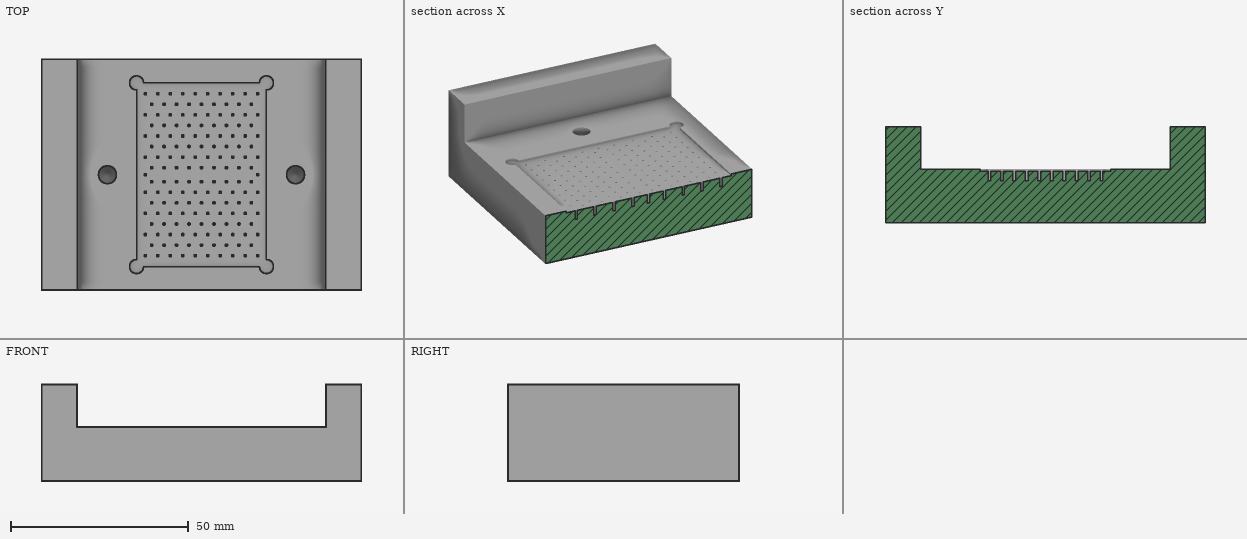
import cadquery as cq
import math

length = 90.0
width = 65.0
height = 27.2
wall_thickness = 10.0
floor_height = 15.2

pocket_length = 36.5
pocket_width = 51.7
pocket_depth = 0.5
relief_diameter = 4.0

pin_diameter = 0.6
pin_depth = 2.7
pin_pitch = 3.5
row_pitch = 3.0
first_row_offset = 2.0
rows_per_half = 8
long_row_count = 10
short_row_count = long_row_count - 1

drill_diameter = 5.0
drill_depth = 10.0
drill_point_angle = 118.0
drill_spacing = 52.9

pocket_floor = floor_height - pocket_depth


def channel_block():
    block = cq.Workplane("XY").box(length, width, height, centered=(True, True, False))
    channel = (
        cq.Workplane("XY")
        .workplane(offset=floor_height)
        .rect(length - 2 * wall_thickness, width)
        .extrude(height - floor_height)
    )
    return block.cut(channel)


def relieved_pocket():
    base = cq.Workplane("XY").workplane(offset=pocket_floor)
    pocket = base.rect(pocket_length, pocket_width).extrude(pocket_depth)
    reliefs = (
        base.rect(pocket_length, pocket_width, forConstruction=True)
        .vertices()
        .circle(relief_diameter / 2)
        .extrude(pocket_depth)
    )
    return pocket.union(reliefs)


def row_points(count, y):
    """Hole centres of one row, spread evenly about the Y axis."""
    return [((i - (count - 1) / 2) * pin_pitch, y) for i in range(count)]


def pin_points():
    middle_row = row_points(long_row_count, 0)
    points = [middle_row[0], middle_row[-1]]
    for row in range(rows_per_half):
        count = short_row_count if row % 2 == 0 else long_row_count
        y = first_row_offset + row * row_pitch
        points += row_points(count, y) + row_points(count, -y)
    return points


def pin_holes():
    return (
        cq.Workplane("XY")
        .workplane(offset=pocket_floor - pin_depth)
        .pushPoints(pin_points())
        .circle(pin_diameter / 2)
        .extrude(pin_depth)
    )


def drilled_hole(x):
    radius = drill_diameter / 2
    point_depth = radius / math.tan(math.radians(drill_point_angle / 2))
    shoulder = floor_height - drill_depth
    half_section = [
        (0, floor_height),
        (radius, floor_height),
        (radius, shoulder),
        (0, shoulder - point_depth),
    ]
    hole = cq.Workplane("XZ").polyline(half_section).close().revolve(360, (0, 0), (0, 1))
    return hole.translate((x, 0, 0))


result = channel_block().cut(relieved_pocket()).cut(pin_holes())
for side in (-1, 1):
    result = result.cut(drilled_hole(side * drill_spacing / 2))